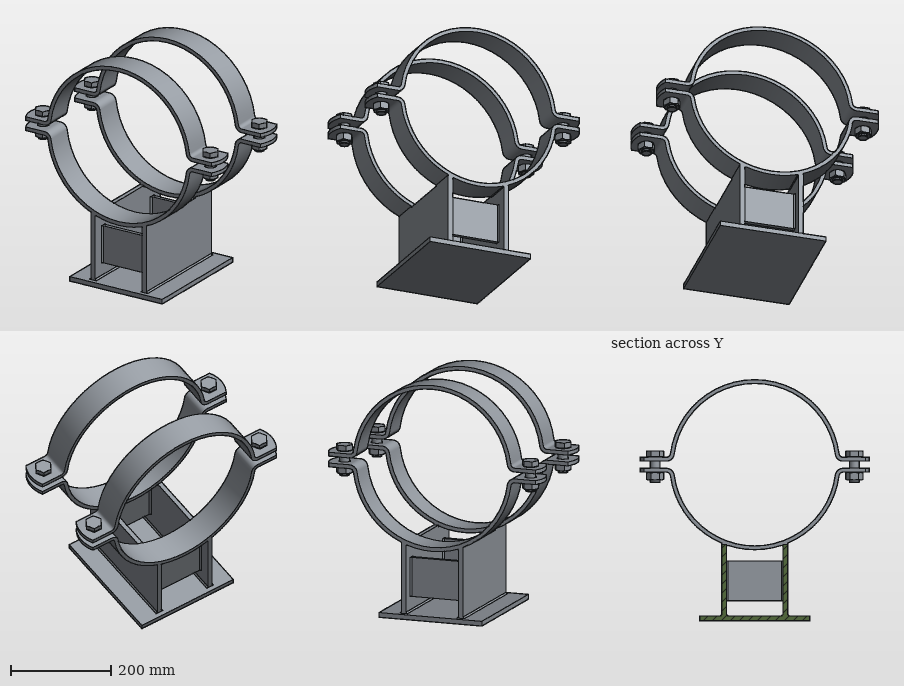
import cadquery as cq
import math

base_x = 220.0
base_y = 260.0
base_thickness = 10.0

upright_y = 240.0
upright_thickness = 10.0
upright_inner_gap = 112.0
upright_top_z = 152.7

cross_thickness = 8.0
cross_height = 80.0
cross_clearance = 30.0

weld_leg = 3.0
band_weld_leg = 2.0
band_weld_lean = 0.3

band_width = 60.0
band_thickness = 8.0
band_inner_radius = 162.0
bend_radius = 8.0
ear_gap = 14.0
ear_end_x = 229.0
ear_end_radius = 60.0
axis_z = 312.0

bolt_x = 199.0
bolt_diameter = 20.0
bolt_tip_diameter = 18.65
bolt_hole_diameter = 23.0
hex_across_flats = 30.0
bearing_face_diameter = 27.7
bearing_face_height = 1.2
head_height = 12.5
head_top_diameter = 29.5
head_chamfer_angle = 15.0
nut_height = 16.0
nut_chamfer_angle = 30.0
bolt_tip_length = 5.0
bolt_tip_chamfer_length = 1.5

band_outer_radius = band_inner_radius + band_thickness
band_y = (upright_y - band_width) / 2
upright_inner_x = upright_inner_gap / 2
upright_outer_x = upright_inner_x + upright_thickness
ear_inner_z = ear_gap / 2
ear_outer_z = ear_inner_z + band_thickness
hex_across_corners = hex_across_flats / math.cos(math.radians(30))


def extrude_profile_y(profile, length):
    """Extrude an XZ profile symmetrically about Y = 0."""
    return profile.extrude(length / 2, both=True)


def make_base():
    """Base plate resting on Z = 0."""
    return cq.Workplane("XY").rect(base_x, base_y).extrude(base_thickness)


def make_upright(side):
    """Upright plate on one side with weld fillets along both lower edges."""
    weld_top = base_thickness + weld_leg
    profile = cq.Workplane("XZ").polyline([
        (side * (upright_inner_x - weld_leg), base_thickness),
        (side * upright_inner_x, weld_top),
        (side * upright_inner_x, upright_top_z),
        (side * upright_outer_x, upright_top_z),
        (side * upright_outer_x, weld_top),
        (side * (upright_outer_x + weld_leg), base_thickness),
    ]).close()
    return extrude_profile_y(profile, upright_y)


def band_underside_z(x):
    """Height of the lower outer surface of the bands at a given X."""
    return axis_z - math.sqrt(band_outer_radius**2 - x**2)


def make_band_welds(side, y):
    """Weld beads joining one upright to the underside of the band at Y = y."""
    outer_toe_x = upright_outer_x - band_weld_lean
    outer_bead = [
        (side * upright_inner_x, upright_top_z),
        (side * upright_outer_x, upright_top_z),
        (side * outer_toe_x, band_underside_z(outer_toe_x)),
    ]
    inner_toe_x = upright_inner_x - band_weld_leg
    inner_root_z = band_underside_z(upright_inner_x)
    inner_bead = [
        (side * upright_inner_x, inner_root_z),
        (side * upright_inner_x, inner_root_z - band_weld_leg),
        (side * inner_toe_x, band_underside_z(inner_toe_x)),
    ]
    beads = cq.Workplane("XZ").polyline(outer_bead).close().polyline(inner_bead).close()
    return extrude_profile_y(beads, band_width).translate((0, y, 0))


def make_cross_plate(y):
    """Cross plate between the uprights with weld fillets at its upright edges."""
    bottom_z = base_thickness + cross_clearance
    half = cross_thickness / 2
    right_end = [
        (upright_inner_x - weld_leg, half),
        (upright_inner_x, half + weld_leg),
        (upright_inner_x, -half - weld_leg),
        (upright_inner_x - weld_leg, -half),
    ]
    left_end = [(-px, -py) for px, py in right_end]
    plate = cq.Workplane("XY").polyline(right_end + left_end).close().extrude(cross_height)
    return plate.translate((0, y, bottom_z))


def make_half_band():
    """Upper half band centred on the pipe axis at the origin."""
    bend_centre_z = ear_outer_z + bend_radius
    bend_distance = band_outer_radius + bend_radius
    bend_centre_x = math.sqrt(bend_distance**2 - bend_centre_z**2)
    bend_outer_radius = bend_radius + band_thickness
    ring_angle = math.atan2(bend_centre_z, bend_centre_x)
    middle_angle = (math.pi + ring_angle + 1.5 * math.pi) / 2

    def on_ring(radius):
        return radius * math.cos(ring_angle), radius * math.sin(ring_angle)

    def on_bend(radius):
        x = bend_centre_x + radius * math.cos(middle_angle)
        z = bend_centre_z + radius * math.sin(middle_angle)
        return x, z

    def mirrored(point):
        return -point[0], point[1]

    outer_start = on_ring(band_outer_radius)
    inner_start = on_ring(band_inner_radius)
    profile = (
        cq.Workplane("XZ")
        .moveTo(ear_end_x, ear_inner_z)
        .lineTo(ear_end_x, ear_outer_z)
        .lineTo(bend_centre_x, ear_outer_z)
        .threePointArc(on_bend(bend_radius), outer_start)
        .threePointArc((0, band_outer_radius), mirrored(outer_start))
        .threePointArc(mirrored(on_bend(bend_radius)), (-bend_centre_x, ear_outer_z))
        .lineTo(-ear_end_x, ear_outer_z)
        .lineTo(-ear_end_x, ear_inner_z)
        .lineTo(-bend_centre_x, ear_inner_z)
        .threePointArc(mirrored(on_bend(bend_outer_radius)), mirrored(inner_start))
        .threePointArc((0, band_inner_radius), inner_start)
        .threePointArc(on_bend(bend_outer_radius), (bend_centre_x, ear_inner_z))
        .close()
    )
    half_band = extrude_profile_y(profile, band_width)

    half_width = band_width / 2
    corner_x = ear_end_x - ear_end_radius + math.sqrt(ear_end_radius**2 - half_width**2)
    plan = (
        cq.Workplane("XY")
        .moveTo(-corner_x, -half_width)
        .lineTo(corner_x, -half_width)
        .threePointArc((ear_end_x, 0), (corner_x, half_width))
        .lineTo(-corner_x, half_width)
        .threePointArc((-ear_end_x, 0), (-corner_x, -half_width))
        .close()
        .extrude(band_outer_radius)
    )
    holes = (
        cq.Workplane("XY")
        .pushPoints([(-bolt_x, 0), (bolt_x, 0)])
        .circle(bolt_hole_diameter / 2)
        .extrude(ear_outer_z)
    )
    return half_band.intersect(plan).cut(holes)


def make_hex_prism(bottom_z, height, end_diameter, chamfer_angle, chamfer_bottom):
    """Hex prism with corners turned down by a cone at the top and optionally at the bottom."""
    corner_radius = hex_across_corners / 2
    end_radius = end_diameter / 2
    cut = (corner_radius - end_radius) * math.tan(math.radians(chamfer_angle))
    top_z = bottom_z + height
    hexagon = cq.Workplane("XY", origin=(0, 0, bottom_z)).polygon(6, hex_across_corners).extrude(height)
    outline = [(0, top_z), (end_radius, top_z), (corner_radius, top_z - cut)]
    if chamfer_bottom:
        outline += [(corner_radius, bottom_z + cut), (end_radius, bottom_z)]
    else:
        outline += [(corner_radius, bottom_z)]
    outline += [(0, bottom_z)]
    turned = cq.Workplane("XZ").polyline(outline).close().revolve(360, (0, 0, 0), (0, 1, 0))
    return hexagon.intersect(turned)


def make_bolt():
    """Bolt with head and nut, centred on the joint between the two ears."""
    head_bottom = ear_outer_z + bearing_face_height
    nut_bottom = -ear_outer_z - nut_height
    tip_z = nut_bottom - bolt_tip_length
    tip_chamfer = (bolt_diameter - bolt_tip_diameter) / 2
    bearing_face = (
        cq.Workplane("XY", origin=(0, 0, ear_outer_z))
        .circle(bearing_face_diameter / 2)
        .extrude(bearing_face_height)
    )
    head = make_hex_prism(
        head_bottom, head_height - bearing_face_height, head_top_diameter, head_chamfer_angle, False
    )
    shank = (
        cq.Workplane("XY", origin=(0, 0, tip_z))
        .circle(bolt_diameter / 2)
        .extrude(head_bottom - tip_z)
        .faces("<Z")
        .chamfer(bolt_tip_chamfer_length, tip_chamfer)
    )
    nut = make_hex_prism(nut_bottom, nut_height, bearing_face_diameter, nut_chamfer_angle, True)
    return shank.union(bearing_face).union(head).union(nut)


def make_clamp():
    """Complete band: two half bands joined by two bolts."""
    upper = make_half_band()
    clamp = upper.union(upper.mirror("XY"))
    bolt = make_bolt()
    for side in (-1, 1):
        clamp = clamp.union(bolt.translate((side * bolt_x, 0, 0)))
    return clamp


result = make_base()
for side in (-1, 1):
    result = result.union(make_upright(side))
clamp = make_clamp()
for y in (-band_y, band_y):
    result = result.union(make_cross_plate(y))
    result = result.union(clamp.translate((0, y, axis_z)))
    for side in (-1, 1):
        result = result.union(make_band_welds(side, y))